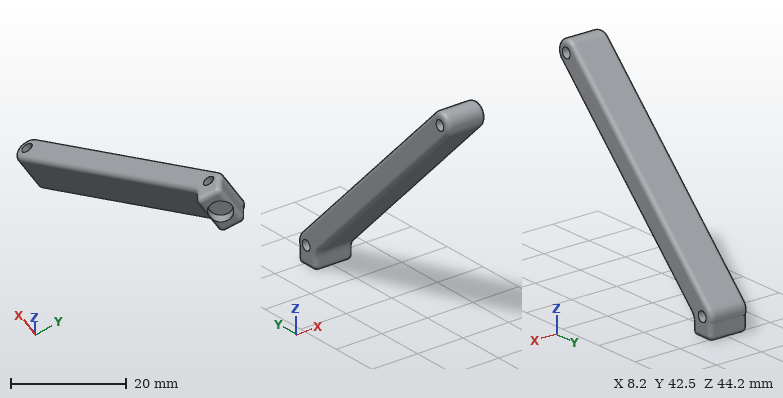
import cadquery as cq
import math

overall_height = 44.15
width = 8.2
pivot_spacing = 53.05
end_diameter = 5.0
arm_angle = math.radians(45)
pin_diameter = 2.1
edge_radius = 0.95
foot_back = 2.35
foot_front = 2.75
inner_bend_radius = 2.45
socket_diameter = 4.5
socket_depth = 2.0

end_radius = end_diameter / 2
arm_run = pivot_spacing * math.cos(arm_angle)
arm_rise = pivot_spacing * math.sin(arm_angle)
pivot_height = overall_height - arm_rise - end_radius
lower_pivot = (0, pivot_height)
upper_pivot = (-arm_run, pivot_height + arm_rise)


def make_profile():
    """Outline of the bent arm in the YZ plane, with sharp foot corners."""
    sin_a = math.sin(arm_angle)
    cos_a = math.cos(arm_angle)
    back_join = pivot_height - math.sqrt(end_radius**2 - foot_back**2)
    bend_corner = pivot_height + foot_front * math.tan(arm_angle) - end_radius / cos_a
    bend_setback = inner_bend_radius * math.tan(arm_angle / 2)
    bend_middle = inner_bend_radius * (1 / math.cos(arm_angle / 2) - 1)

    def on_end(pivot, y_direction, z_direction):
        return (pivot[0] + end_radius * y_direction, pivot[1] + end_radius * z_direction)

    bend_bottom = (-foot_front, bend_corner - bend_setback)
    bend_mid = (
        -foot_front - bend_middle * math.cos(arm_angle / 2),
        bend_corner - bend_middle * math.sin(arm_angle / 2),
    )
    bend_top = (-foot_front - bend_setback * cos_a, bend_corner + bend_setback * sin_a)

    return (
        cq.Workplane("YZ", origin=(-width / 2, 0, 0))
        .moveTo(-foot_front, 0)
        .lineTo(*bend_bottom)
        .threePointArc(bend_mid, bend_top)
        .lineTo(*on_end(upper_pivot, -sin_a, -cos_a))
        .threePointArc(on_end(upper_pivot, -cos_a, sin_a), on_end(upper_pivot, sin_a, cos_a))
        .lineTo(*on_end(lower_pivot, sin_a, cos_a))
        .threePointArc(on_end(lower_pivot, 1, 0), (foot_back, back_join))
        .lineTo(foot_back, 0)
        .close()
    )


def make_body():
    """Full-width arm with rounded foot corners and rounded side edges."""
    body = make_profile().extrude(width)
    body = body.faces("<Z").edges("|X").fillet(edge_radius)
    return body.faces("<X or >X").edges().fillet(edge_radius)


def make_pin_holes():
    """Cross holes through both pivots."""
    plane = cq.Workplane("YZ", origin=(-width / 2, 0, 0))
    return plane.pushPoints([lower_pivot, upper_pivot]).circle(pin_diameter / 2).extrude(width)


def make_socket():
    """Blind round socket in the underside of the foot."""
    foot_centre = (foot_back - foot_front) / 2
    return cq.Workplane("XY").center(0, foot_centre).circle(socket_diameter / 2).extrude(socket_depth)


result = make_body().cut(make_pin_holes()).cut(make_socket())